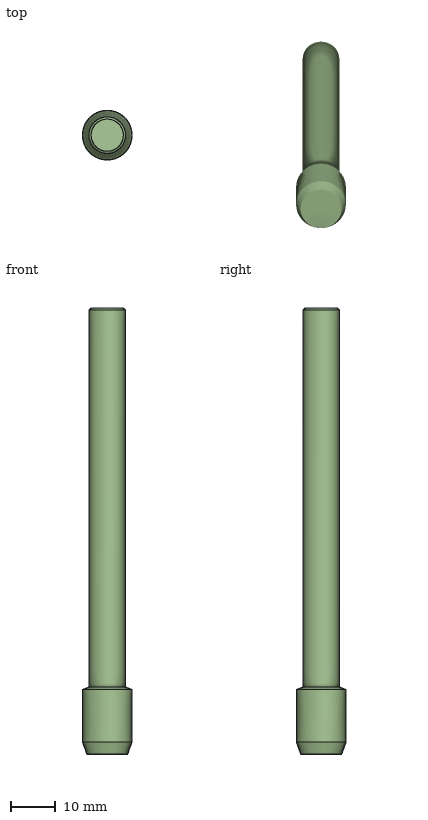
import cadquery as cq

overall_height = 100.0

head_diameter = 11.12
head_height = 15.1
shoulder_height = 0.6
foot_diameter = 9.12
foot_height = 2.75

shank_diameter = 8.2
bevel_width = 0.5
bevel_height = 0.5

head_radius = head_diameter / 2
foot_radius = foot_diameter / 2
shank_radius = shank_diameter / 2


def revolve_profile(points):
    """Turn a closed (radius, height) outline around the Z axis."""
    return cq.Workplane("YZ").polyline(points).close().revolve(360, (0, 0), (0, 1))


def make_head():
    """Plug whose shoulder slopes up to a flat seat as wide as the shank."""
    return revolve_profile([
        (0, 0),
        (foot_radius, 0),
        (head_radius, foot_height),
        (head_radius, head_height - shoulder_height),
        (shank_radius, head_height),
        (0, head_height),
    ])


def make_shank():
    """Bar that rises from the seat of the head to the full height."""
    return revolve_profile([
        (0, head_height),
        (shank_radius, head_height),
        (shank_radius, overall_height - bevel_height),
        (shank_radius - bevel_width, overall_height),
        (0, overall_height),
    ])


head = make_head()
shank = make_shank()

result = cq.Compound.makeCompound([head.val(), shank.val()])